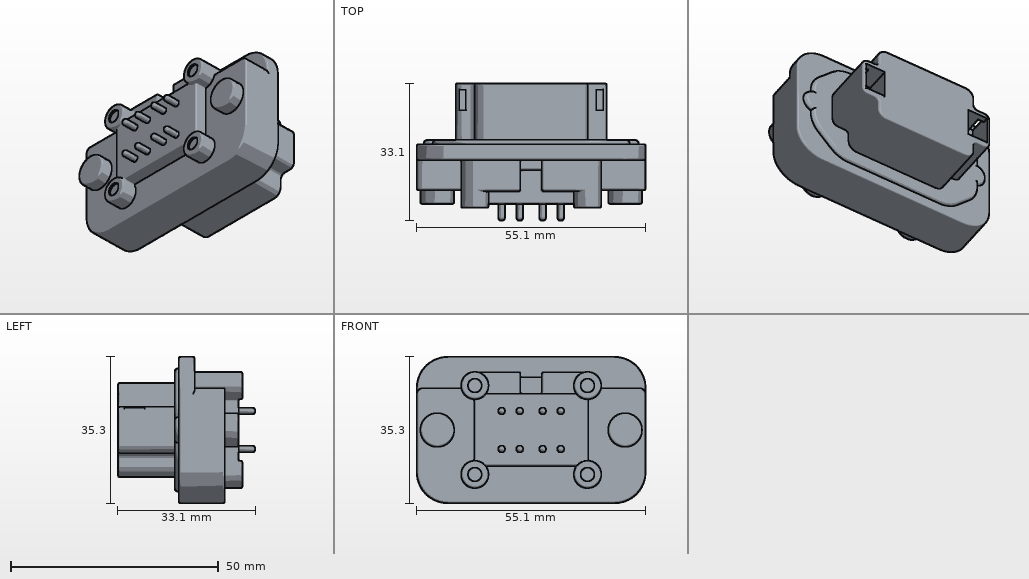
import cadquery as cq

EDGE_FILLET = 0.5
ROOT_FILLET = 0.3
SELECT_MARGIN = 0.03

FLANGE_WIDTH = 55.1
FLANGE_HEIGHT = 35.3
FLANGE_CORNER = 7.55
FLANGE_FRONT = -3.85
BLOCK_FRONT = -11.15
BLOCK_CORNER = 1.55
BLOCK_TOP = FLANGE_HEIGHT / 2 - FLANGE_CORNER

COLLAR_WIDTH = 47.5
COLLAR_HEIGHT = 29.75
COLLAR_THICKNESS = 1.0
COLLAR_CHAMFER = 7.8
COLLAR_CORNER_RADIUS = 7.3
COLLAR_EAR_RADIUS = 3.3

SHELL_END = 14.6
SHELL_WIDTH = 27.25
SHELL_HEIGHT = 22.7
SHELL_CORNER = 2.5
WING_WIDTH = 36.4
WING_HEIGHT = 11.15
WING_CORNER = 1.7
WING_ROOT_RADIUS = 1.15
SLOT_INNER_X = 15.7
SLOT_OUTER_X = 17.3
SLOT_LENGTH = 4.9
SLOT_END_GAP = 1.55
POCKET_INNER_X = 11.95
POCKET_HEIGHT = 8.15

PLATE_WIDTH = 27.5
PLATE_HEIGHT = 17.35
PLATE_FRONT = -14.45
BOSS_X = 13.55
BOSS_Z = 10.7
BOSS_RADIUS = 3.3
BOSS_FRONT = -15.4
BOSS_RECESS_RADIUS = 1.65
BOSS_RECESS_DEPTH = 0.5
BUTTON_X = 22.6
BUTTON_RADIUS = 4.1
PIN_X = (2.75, 7.1)
PIN_Z = 4.6
PIN_RADIUS = 0.8
PIN_TIP_FILLET = 0.75
PIN_FRONT = -18.45

TOWER_FRONT = -11.35
TOWER_GAP = 5.2
TOWER_TOP = 13.95
BRIDGE_TOP = 12.7
BRIDGE_FRONT = -6.3
PLATE_TOP = PLATE_HEIGHT / 2


def box(x_min, x_max, y_min, y_max, z_min, z_max):
    size = (x_max - x_min, y_max - y_min, z_max - z_min)
    return cq.Workplane("XY").box(*size, centered=False).translate((x_min, y_min, z_min))


def slab(width, height, y_back, y_front):
    """Rectangular slab centred on the Y axis."""
    return box(-width / 2, width / 2, y_front, y_back, -height / 2, height / 2)


def post(x, z, radius, y_back, y_front):
    """Round post running from y_back forward to y_front."""
    return cq.Workplane("XZ", origin=(x, y_back, z)).circle(radius).extrude(y_back - y_front)


def between(*ranges):
    """Selector for the edges whose centres lie within the given x, y and z ranges."""
    low = [start - SELECT_MARGIN for start, _ in ranges]
    high = [end + SELECT_MARGIN for _, end in ranges]
    return cq.selectors.BoxSelector(low, high)


def make_flange():
    flange = slab(FLANGE_WIDTH, FLANGE_HEIGHT, 0, FLANGE_FRONT).edges("|Y").fillet(FLANGE_CORNER)
    return flange.faces("<Y or >Y").edges().fillet(EDGE_FILLET)


def make_block():
    half_width = FLANGE_WIDTH / 2
    back = FLANGE_FRONT / 2
    block = box(-half_width, half_width, BLOCK_FRONT, back, -FLANGE_HEIGHT / 2, BLOCK_TOP)
    block = block.edges("|Y and <Z").fillet(FLANGE_CORNER)
    block = block.edges("|Y and >Z").fillet(BLOCK_CORNER)
    return block.faces("<Y").edges().fillet(EDGE_FILLET)


def make_collar():
    collar = slab(COLLAR_WIDTH, COLLAR_HEIGHT, COLLAR_THICKNESS, -EDGE_FILLET)
    collar = collar.edges("|Y").chamfer(COLLAR_CHAMFER)
    collar = collar.edges("|Y").fillet(COLLAR_CORNER_RADIUS)
    collar = collar.faces(">Y").edges().fillet(COLLAR_THICKNESS)
    for x in (-BUTTON_X, BUTTON_X):
        ear = post(x, 0, COLLAR_EAR_RADIUS, COLLAR_THICKNESS, -EDGE_FILLET)
        collar = collar.union(ear.faces(">Y").edges().fillet(COLLAR_THICKNESS))
    return collar


def make_shell():
    shell = slab(SHELL_WIDTH, SHELL_HEIGHT, SHELL_END, 0).edges("|Y").fillet(SHELL_CORNER)
    wings = slab(WING_WIDTH, WING_HEIGHT, SHELL_END, 0).edges("|Y").fillet(WING_CORNER)
    shell = shell.union(wings)
    reach_x = SHELL_WIDTH / 2 + EDGE_FILLET
    reach_z = WING_HEIGHT / 2 + EDGE_FILLET
    roots = between((-reach_x, reach_x), (0, SHELL_END), (-reach_z, reach_z))
    shell = shell.edges("|Y").edges(roots).fillet(WING_ROOT_RADIUS)
    shell = shell.faces(">Y").edges().fillet(EDGE_FILLET)

    slot_end = SHELL_END - SLOT_END_GAP
    slot_start = slot_end - SLOT_LENGTH
    for side in (-1, 1):
        x_min, x_max = sorted((side * SLOT_INNER_X, side * SLOT_OUTER_X))
        shell = shell.cut(box(x_min, x_max, slot_start, slot_end, 0, WING_HEIGHT))
        x_min, x_max = sorted((side * POCKET_INNER_X, side * SLOT_OUTER_X))
        shell = shell.cut(box(x_min, x_max, slot_start, SHELL_END, -POCKET_HEIGHT / 2, POCKET_HEIGHT / 2))
    return shell


def make_towers():
    """Pair of towers standing on the flange, with a gap between them."""
    towers = None
    for side in (-1, 1):
        x_min, x_max = sorted((side * TOWER_GAP / 2, side * BOSS_X))
        tower = box(x_min, x_max, TOWER_FRONT, FLANGE_FRONT, 0, TOWER_TOP)
        inner = "<X" if side > 0 else ">X"
        tower = tower.edges(f"(|X and >Z and <Y) or (|Y and >Z and {inner}) or (|Z and <Y and {inner})")
        tower = tower.fillet(EDGE_FILLET)
        towers = tower if towers is None else towers.union(tower)
    return towers


def make_bridge():
    bridge = slab(TOWER_GAP, 2 * BRIDGE_TOP, FLANGE_FRONT, BRIDGE_FRONT)
    return bridge.edges("|X and >Z").edges("<Y").fillet(EDGE_FILLET)


def make_plate():
    plate = slab(PLATE_WIDTH, PLATE_HEIGHT, FLANGE_FRONT, PLATE_FRONT)
    return plate.faces("<Y").edges().fillet(EDGE_FILLET)


def make_boss(x, z):
    boss = post(x, z, BOSS_RADIUS, FLANGE_FRONT, BOSS_FRONT).faces("<Y").edges().fillet(EDGE_FILLET)
    return boss.cut(post(x, z, BOSS_RECESS_RADIUS, BOSS_FRONT + BOSS_RECESS_DEPTH, BOSS_FRONT))


def make_button(x):
    button = post(x, 0, BUTTON_RADIUS, BLOCK_FRONT / 2, PLATE_FRONT)
    return button.faces("<Y").edges().fillet(EDGE_FILLET)


def make_pin(x, z):
    pin = post(x, z, PIN_RADIUS, PLATE_FRONT + EDGE_FILLET, PIN_FRONT)
    return pin.faces("<Y").edges().fillet(PIN_TIP_FILLET)


def make_housing():
    """Flange, block, plate, towers and bosses with the rounded inner corners where they meet."""
    clearance = box(-BOSS_X, BOSS_X, BLOCK_FRONT, FLANGE_FRONT, PLATE_TOP, BLOCK_TOP)
    housing = make_flange().union(make_block().cut(clearance))
    housing = housing.union(make_plate()).union(make_towers())
    for x in (-BOSS_X, BOSS_X):
        for z in (-BOSS_Z, BOSS_Z):
            housing = housing.union(make_boss(x, z))

    foot_x = BOSS_X - BOSS_RADIUS + EDGE_FILLET
    foot = between((-foot_x, foot_x), (TOWER_FRONT, FLANGE_FRONT), (PLATE_TOP, PLATE_TOP))
    housing = housing.edges(foot).fillet(EDGE_FILLET)

    root_x = BOSS_X + BOSS_RADIUS
    above_block = BLOCK_TOP + 2 * SELECT_MARGIN
    root = between((-root_x, root_x), (FLANGE_FRONT, FLANGE_FRONT), (above_block, TOWER_TOP))
    housing = housing.edges(root).fillet(ROOT_FILLET)

    tower_z = (PLATE_TOP + EDGE_FILLET, TOWER_TOP - EDGE_FILLET)
    ring = between((-BOSS_X, BOSS_X), (TOWER_FRONT, TOWER_FRONT), tower_z)
    housing = housing.edges("%CIRCLE").edges(ring).fillet(ROOT_FILLET)

    half_width = PLATE_WIDTH / 2
    for x in (-half_width, half_width):
        side = between((x, x), (PLATE_FRONT, BLOCK_FRONT), (-BOSS_Z, 0))
        housing = housing.edges("|Y").edges(side).fillet(ROOT_FILLET)
    return housing


def add_bridge(housing):
    """Join the towers with the bridge and round its meeting lines with towers and plate."""
    housing = housing.union(make_bridge())
    reach = TOWER_GAP / 2 + EDGE_FILLET
    meeting = between((-reach, reach), (BRIDGE_FRONT, FLANGE_FRONT), (PLATE_TOP, BRIDGE_TOP))
    return housing.edges(meeting).edges("(not |X) or <Z").fillet(ROOT_FILLET)


result = add_bridge(make_housing())
result = result.union(make_collar()).union(make_shell())
for x in (-BUTTON_X, BUTTON_X):
    result = result.union(make_button(x))
for column in PIN_X:
    for x in (-column, column):
        for z in (-PIN_Z, PIN_Z):
            result = result.union(make_pin(x, z))